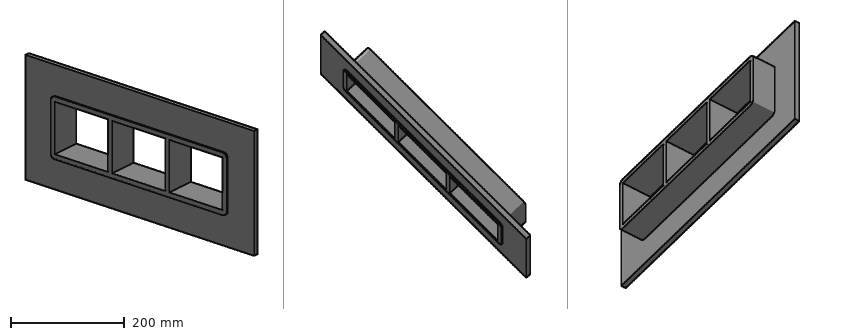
import cadquery as cq

plate_length = 521.5
plate_height = 241.0
plate_thickness = 10.0

flange_margin = 60.0
frame_length = plate_length - 2 * flange_margin
frame_height = plate_height - 2 * flange_margin
frame_depth = 60.0
frame_corner_radius = 10.0
front_projection = 3.0

opening_count = 3
wall = 10.0
opening_length = (frame_length - (opening_count + 1) * wall) / opening_count
opening_height = frame_height - 2 * wall
opening_pitch = opening_length + wall


def block(length, depth, height, front_y):
    """Block centred on X and Z, extending toward +Y from its front face."""
    return cq.Workplane("XY").box(length, depth, height).translate((0, front_y + depth / 2, 0))


plate = block(plate_length, plate_thickness, plate_height, 0)
frame = block(frame_length, frame_depth, frame_height, -front_projection)
frame = frame.edges("|Y").fillet(frame_corner_radius)
result = plate.union(frame)

for index in range(opening_count):
    center_x = (index - (opening_count - 1) / 2) * opening_pitch
    opening = block(opening_length, frame_depth, opening_height, -front_projection)
    result = result.cut(opening.translate((center_x, 0, 0)))